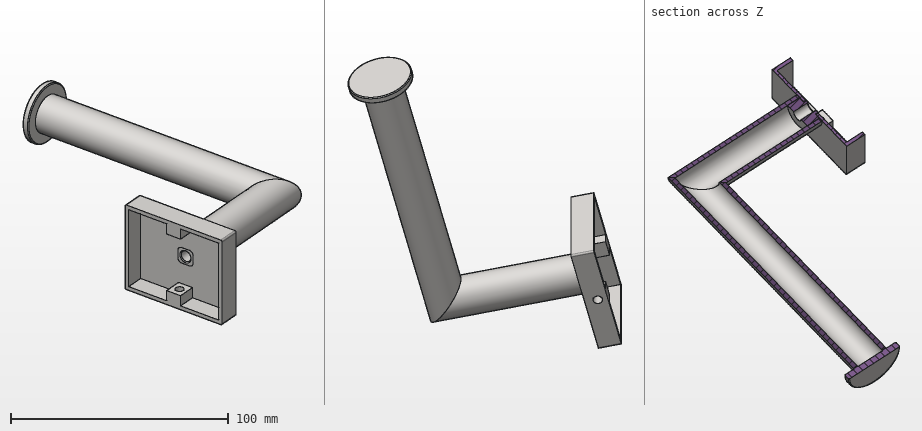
import cadquery as cq

overall_length = 159.0
overall_depth = 91.5

plate_width = 55.3
plate_height = 45.0
plate_depth = 10.8
plate_wall = 2.0
plate_floor = 1.6
plate_corner_radius = 0.8

block_width = 8.0
block_height = 5.4
screw_hole_diameter = 4.3

tube_diameter = 19.1
tube_wall = 2.4
bore_diameter = tube_diameter - 2 * tube_wall

disc_diameter = 30.0
disc_thickness = 3.3
disc_chamfer = 0.5

plug_length = 7.0
tenon_width = 8.6
tenon_height = 8.3
tenon_corner_radius = 2.0
plug_hole_diameter = 5.4
plug_hole_chamfer = 0.5

disc_left = plate_width / 2 - overall_length
disc_right = disc_left + disc_thickness
arm_axis_y = overall_depth - disc_diameter / 2
floor_y = plate_depth - plate_floor
inner_height = plate_height - 2 * plate_wall


def block_along_y(width, height, start_y, end_y):
    """Rectangular block centred on the post axis, between two Y positions."""
    block = cq.Workplane("XY").box(width, end_y - start_y, height, centered=(True, False, True))
    return block.translate((0, start_y, 0))


def cylinder_along_y(diameter, start_y, end_y):
    """Cylinder on the post axis, between two Y positions."""
    return cq.Workplane("XZ", origin=(0, start_y, 0)).circle(diameter / 2).extrude(start_y - end_y)


def cylinder_along_x(diameter, start_x, end_x):
    """Cylinder on the arm axis, between two X positions."""
    return cq.Workplane("YZ", origin=(start_x, arm_axis_y, 0)).circle(diameter / 2).extrude(end_x - start_x)


def tenon_block():
    """Rounded block that fills the opening in the plate floor."""
    block = block_along_y(tenon_width, tenon_height, floor_y, plate_depth)
    return block.edges("|Y").fillet(tenon_corner_radius)


def make_plate():
    plate = block_along_y(plate_width, plate_height, 0, plate_depth)
    plate = plate.edges("|Y").fillet(plate_corner_radius)
    plate = plate.cut(block_along_y(plate_width - 2 * plate_wall, inner_height, 0, floor_y))

    for side in (-1, 1):
        block = block_along_y(block_width, block_height, 0, floor_y)
        plate = plate.union(block.translate((0, 0, side * (inner_height - block_height) / 2)))

    screw_hole = (
        cq.Workplane("XY", origin=(0, floor_y / 2, -plate_height / 2))
        .circle(screw_hole_diameter / 2)
        .extrude(plate_wall + block_height)
    )
    return plate.cut(screw_hole).cut(tenon_block())


def mitre_wedge():
    """Region on the post side of the 45 degree mitre plane."""
    reach = overall_length
    return (
        cq.Workplane("XY", origin=(0, arm_axis_y, -tube_diameter))
        .polyline([(-reach, -reach), (reach, reach), (reach, -reach)])
        .close()
        .extrude(2 * tube_diameter)
    )


def make_post():
    end_y = arm_axis_y + tube_diameter
    tube = cylinder_along_y(tube_diameter, plate_depth, end_y)
    tube = tube.cut(cylinder_along_y(bore_diameter, plate_depth, end_y))
    return tube.intersect(mitre_wedge())


def make_arm():
    end_x = tube_diameter
    tube = cylinder_along_x(tube_diameter, disc_right, end_x)
    tube = tube.cut(cylinder_along_x(bore_diameter, disc_right, end_x))
    return tube.cut(mitre_wedge())


def make_disc():
    return cylinder_along_x(disc_diameter, disc_left, disc_right).edges().chamfer(disc_chamfer)


def make_plug():
    """Round plug in the post bore with a tenon flush with the plate floor."""
    end_y = plate_depth + plug_length
    plug = cylinder_along_y(bore_diameter, plate_depth, end_y).union(tenon_block())
    plug = plug.cut(cylinder_along_y(plug_hole_diameter, floor_y, end_y))
    return plug.faces("<Y").edges("%CIRCLE").edges(cq.selectors.RadiusNthSelector(-1)).chamfer(plug_hole_chamfer)


plate = make_plate()
post = make_post()
arm = make_arm()
disc = make_disc()
plug = make_plug()

result = cq.Compound.makeCompound([plate.val(), post.val(), arm.val(), disc.val(), plug.val()])